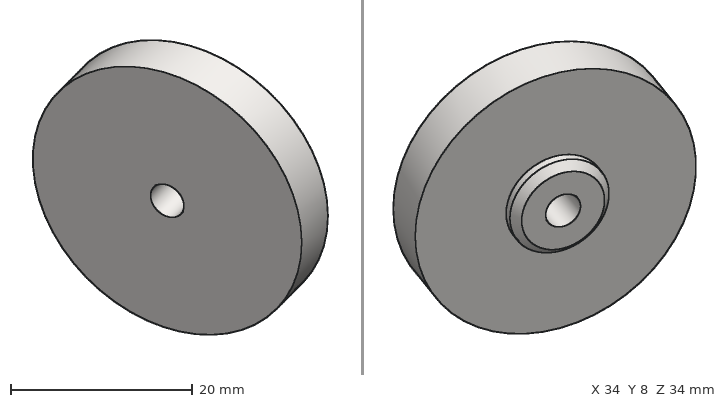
import cadquery as cq

disc_diameter = 34.0
disc_thickness = 6.0
boss_diameter = 12.0
boss_height = 2.0
boss_chamfer = 1.0
bore_diameter = 4.2

total_depth = disc_thickness + boss_height


def cylinder_along_y(diameter, length):
    """Cylinder centred on the Y axis, running from Y = 0 to Y = length."""
    return cq.Workplane("XZ").circle(diameter / 2).extrude(-length)


disc = cylinder_along_y(disc_diameter, disc_thickness)

boss = cylinder_along_y(boss_diameter, total_depth).faces(">Y").chamfer(boss_chamfer)

bore = cylinder_along_y(bore_diameter, total_depth)

result = disc.union(boss).cut(bore)